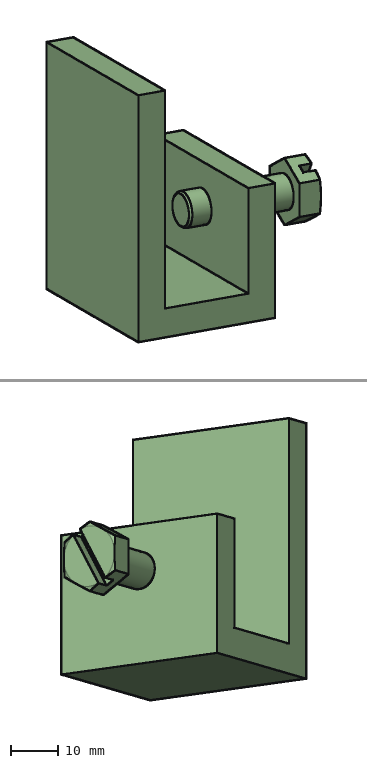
import cadquery as cq
import math

bracket_width = 40.0
bracket_depth = 33.0
tall_wall_height = 55.0
short_wall_height = 30.0
wall = 6.5

bolt_height = 20.0
shank_diameter = 8.0
shank_length = 25.0
tip_chamfer_length = 0.6
tip_chamfer_depth = 0.4
head_thickness = 5.2
head_across_flats = 13.0
head_chamfer_angle = 15.0
slot_width = 2.0
slot_depth = 2.95
slot_angle = 60.0

head_rear = 51.55
head_front = head_rear - head_thickness
shank_tip = head_front - shank_length
shank_radius = shank_diameter / 2
head_across_corners = head_across_flats / math.cos(math.radians(30))


def make_bracket():
    """Channel profile in YZ, extruded across X, with a hole for the bolt."""
    profile = [
        (0, 0),
        (bracket_depth, 0),
        (bracket_depth, short_wall_height),
        (bracket_depth - wall, short_wall_height),
        (bracket_depth - wall, wall),
        (wall, wall),
        (wall, tall_wall_height),
        (0, tall_wall_height),
    ]
    channel = cq.Workplane("YZ").polyline(profile).close().extrude(bracket_width / 2, both=True)
    hole = (
        cq.Workplane("XZ", origin=(0, bracket_depth, bolt_height))
        .circle(shank_radius)
        .extrude(wall)
    )
    return channel.cut(hole)


def revolve_about_bolt_axis(profile):
    """Revolve a closed (radius, Y) outline about the bolt axis."""
    outline = cq.Workplane("XY", origin=(0, 0, bolt_height)).polyline(profile).close()
    return outline.revolve(360, (0, 0, 0), (0, 1, 0))


def make_shank():
    return revolve_about_bolt_axis([
        (0, shank_tip),
        (shank_radius - tip_chamfer_depth, shank_tip),
        (shank_radius, shank_tip + tip_chamfer_length),
        (shank_radius, head_front),
        (0, head_front),
    ])


def make_head():
    """Hexagon with corners up and down, rear corners chamfered, and a driver slot."""
    hexagon = (
        cq.Workplane("XZ", origin=(0, head_rear, bolt_height))
        .transformed(rotate=(0, 0, 90))
        .polygon(6, head_across_corners)
        .extrude(head_thickness)
    )
    face_radius = head_across_flats / 2
    corner_radius = head_across_corners / 2
    chamfer_length = (corner_radius - face_radius) * math.tan(math.radians(head_chamfer_angle))
    envelope = revolve_about_bolt_axis([
        (0, head_front),
        (corner_radius, head_front),
        (corner_radius, head_rear - chamfer_length),
        (face_radius, head_rear),
        (0, head_rear),
    ])
    slot = (
        cq.Workplane("XZ", origin=(0, head_rear, bolt_height))
        .transformed(rotate=(0, 0, slot_angle))
        .rect(head_across_corners, slot_width)
        .extrude(slot_depth)
    )
    return hexagon.intersect(envelope).cut(slot)


def make_bolt():
    return make_shank().union(make_head())


bracket = make_bracket()
bolt = make_bolt()
result = cq.Compound.makeCompound([bracket.solids().val(), bolt.solids().val()])